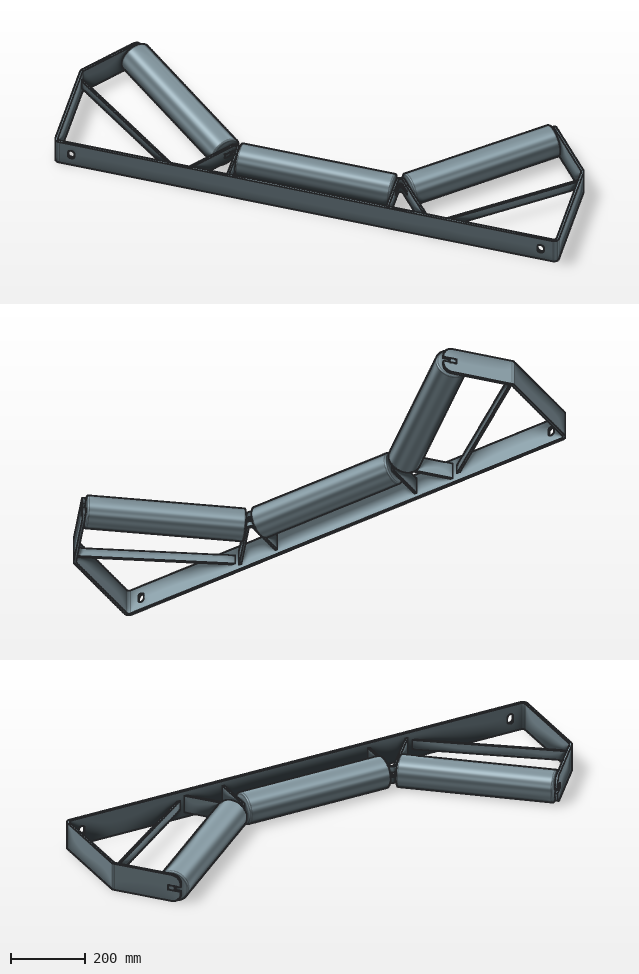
import cadquery as cq
import math


FRAME_LENGTH = 1400.0
FRAME_WIDTH = 80.0
FRAME_THICKNESS = 7.0
FRAME_BEND_RADIUS = 14.0
UPRIGHT_HEIGHT = 269.0
ARM_LENGTH = 196.0
ARM_CORNER_RADIUS = 25.0

MOUNT_SLOT_INSET = 48.0
MOUNT_SLOT_LENGTH = 30.0
MOUNT_SLOT_WIDTH = 18.0

ROLLER_DIAMETER = 90.0
ROLLER_LENGTH = 428.0
ROLLER_EDGE_RADIUS = 4.0
ROLLER_END_GAP = 4.0
SHAFT_DIAMETER = 20.0
SHAFT_FLAT_WIDTH = 14.0
CENTRE_ROLLER_HEIGHT = 102.0
WING_TILT = 40.0
ARM_BEND_TO_SHAFT = 170.0

BRACKET_WIDTH = 50.0
BRACKET_THICKNESS = 6.0
BRACKET_BEND_RADIUS = 13.0

STRUT_WIDTH = 28.0
STRUT_THICKNESS = 6.0
STRUT_TOP_HEIGHT = 262.0
STRUT_FOOT_X = 353.0

HALF_LENGTH = FRAME_LENGTH / 2
COS_TILT = math.cos(math.radians(WING_TILT))
SIN_TILT = math.sin(math.radians(WING_TILT))
SEAT_DISTANCE = ROLLER_LENGTH / 2 + ROLLER_END_GAP
SHAFT_LENGTH = 2 * (SEAT_DISTANCE + BRACKET_THICKNESS)
ARM_FACE_DISTANCE = SEAT_DISTANCE + FRAME_THICKNESS
WING_X = HALF_LENGTH - ARM_FACE_DISTANCE * COS_TILT - ARM_BEND_TO_SHAFT * SIN_TILT
WING_Y = UPRIGHT_HEIGHT - ARM_FACE_DISTANCE * SIN_TILT + ARM_BEND_TO_SHAFT * COS_TILT


def prism(points, width):
    """Closed XY outline extruded along Z, centred on Z = 0."""
    return cq.Workplane("XY", origin=(0, 0, -width / 2)).polyline(points).close().extrude(width)


def at_wing(body):
    """Move a body from the origin to the right wing roller, turning X onto the roller axis."""
    return body.rotate((0, 0, 0), (0, 0, 1), WING_TILT).translate((WING_X, WING_Y, 0))


def at_centre(body):
    """Move a body from the origin to the centre roller."""
    return body.translate((0, CENTRE_ROLLER_HEIGHT, 0))


def mirrored(body):
    return body.mirror("YZ")


def left_normal(start, end):
    length = math.dist(start, end)
    return ((start[1] - end[1]) / length, (end[0] - start[0]) / length)


def offset_corner(before, corner, after, distance):
    """Corner of the path moved sideways, to the left of the direction of travel."""
    n1 = left_normal(before, corner)
    n2 = left_normal(corner, after)
    scale = distance / (1 + n1[0] * n2[0] + n1[1] * n2[1])
    return (corner[0] + scale * (n1[0] + n2[0]), corner[1] + scale * (n1[1] + n2[1]))


def offset_end(end, normal, distance):
    return (end[0] + distance * normal[0], end[1] + distance * normal[1])


def round_edge(body, x, y, radius, z=0):
    return body.edges(cq.NearestToPointSelector((x, y, z))).fillet(radius)


def bent_bar(path, width, thickness, bend_radius):
    """Flat bar whose outer face follows the path; the bar lies to the left of it."""
    outer_corners = path[1:-1]
    inner_corners = [
        offset_corner(before, corner, after, thickness)
        for before, corner, after in zip(path, outer_corners, path[2:])
    ]
    inner_start = offset_end(path[0], left_normal(path[0], path[1]), thickness)
    inner_end = offset_end(path[-1], left_normal(path[-2], path[-1]), thickness)
    bar = prism([*path, inner_end, *reversed(inner_corners), inner_start], width)
    for x, y in outer_corners:
        bar = round_edge(bar, x, y, bend_radius)
    for x, y in inner_corners:
        bar = round_edge(bar, x, y, bend_radius - thickness)
    return bar


def make_shaft_slot(x, thickness):
    """Cutter for a slot open upwards, through a bar whose middle is at x on the roller axis."""
    depth = 2 * ROLLER_DIAMETER
    length = thickness + ROLLER_END_GAP
    slot = cq.Workplane("XY").box(length, depth, SHAFT_FLAT_WIDTH)
    return slot.translate((x, (depth - SHAFT_DIAMETER) / 2, 0))


def cylinder(diameter, length):
    """Cylinder along X, centred on the origin."""
    return cq.Workplane("YZ", origin=(-length / 2, 0, 0)).circle(diameter / 2).extrude(length)


def make_roller():
    """Roller along X, centred on the origin, in one piece with its shaft."""
    shell = cylinder(ROLLER_DIAMETER, ROLLER_LENGTH)
    shell = shell.faces("<X or >X").edges().fillet(ROLLER_EDGE_RADIUS)
    shaft = cylinder(SHAFT_DIAMETER, SHAFT_LENGTH)
    flats = cq.Workplane("XY").box(SHAFT_LENGTH, SHAFT_DIAMETER, SHAFT_FLAT_WIDTH)
    return shell.union(shaft.intersect(flats))


def make_frame():
    tip_x = HALF_LENGTH - ARM_LENGTH * SIN_TILT
    tip_y = UPRIGHT_HEIGHT + ARM_LENGTH * COS_TILT
    right_half = [(HALF_LENGTH, 0), (HALF_LENGTH, UPRIGHT_HEIGHT), (tip_x, tip_y)]
    left_half = [(-x, y) for x, y in reversed(right_half)]
    frame = bent_bar(left_half + right_half, FRAME_WIDTH, FRAME_THICKNESS, FRAME_BEND_RADIUS)

    corner_x = tip_x - FRAME_THICKNESS / 2 * COS_TILT
    corner_y = tip_y - FRAME_THICKNESS / 2 * SIN_TILT
    for side in (-1, 1):
        for end in (-1, 1):
            frame = round_edge(frame, side * corner_x, corner_y, ARM_CORNER_RADIUS, end * FRAME_WIDTH / 2)

    arm_slot = at_wing(make_shaft_slot(SEAT_DISTANCE + FRAME_THICKNESS / 2, FRAME_THICKNESS))
    frame = frame.cut(arm_slot).cut(mirrored(arm_slot))

    mount_x = HALF_LENGTH - MOUNT_SLOT_INSET
    mount_slots = (
        cq.Workplane("XZ")
        .pushPoints([(-mount_x, 0), (mount_x, 0)])
        .slot2D(MOUNT_SLOT_LENGTH, MOUNT_SLOT_WIDTH, 90)
        .extrude(-FRAME_THICKNESS)
    )
    return frame.cut(mount_slots)


def make_bracket():
    """Right bracket: an upright leg at the centre roller and a sloping leg at the wing roller."""
    seat_x = WING_X - SEAT_DISTANCE * COS_TILT
    seat_y = WING_Y - SEAT_DISTANCE * SIN_TILT
    slope = COS_TILT / SIN_TILT
    apex = (SEAT_DISTANCE, seat_y + (seat_x - SEAT_DISTANCE) * slope)
    sloping_foot = (seat_x + seat_y / slope, 0)
    upright_foot = (SEAT_DISTANCE, 0)
    bracket = bent_bar(
        [sloping_foot, apex, upright_foot], BRACKET_WIDTH, BRACKET_THICKNESS, BRACKET_BEND_RADIUS
    )

    below_base_face = cq.Workplane("XY").box(FRAME_LENGTH, 2 * FRAME_THICKNESS, FRAME_WIDTH)
    bracket = bracket.cut(below_base_face)

    bar_middle = SEAT_DISTANCE + BRACKET_THICKNESS / 2
    centre_slot = at_centre(make_shaft_slot(bar_middle, BRACKET_THICKNESS))
    wing_slot = at_wing(make_shaft_slot(-bar_middle, BRACKET_THICKNESS))
    return bracket.cut(centre_slot).cut(wing_slot)


def make_strut():
    """Right strut: flat bar cut to lie against the base and the upright."""
    top = (HALF_LENGTH - FRAME_THICKNESS, STRUT_TOP_HEIGHT)
    foot = (STRUT_FOOT_X, FRAME_THICKNESS)
    angle = math.atan2(top[1] - foot[1], top[0] - foot[0])
    lower_top = (top[0], top[1] - STRUT_THICKNESS / math.cos(angle))
    lower_foot = (foot[0] + STRUT_THICKNESS / math.sin(angle), foot[1])
    return prism([foot, top, lower_top, lower_foot], STRUT_WIDTH)


frame = make_frame()
centre_roller = at_centre(make_roller())
bodies = [frame, centre_roller]
for right_body in (at_wing(make_roller()), make_bracket(), make_strut()):
    bodies += [right_body, mirrored(right_body)]

result = cq.Compound.makeCompound([body.solids().val() for body in bodies])